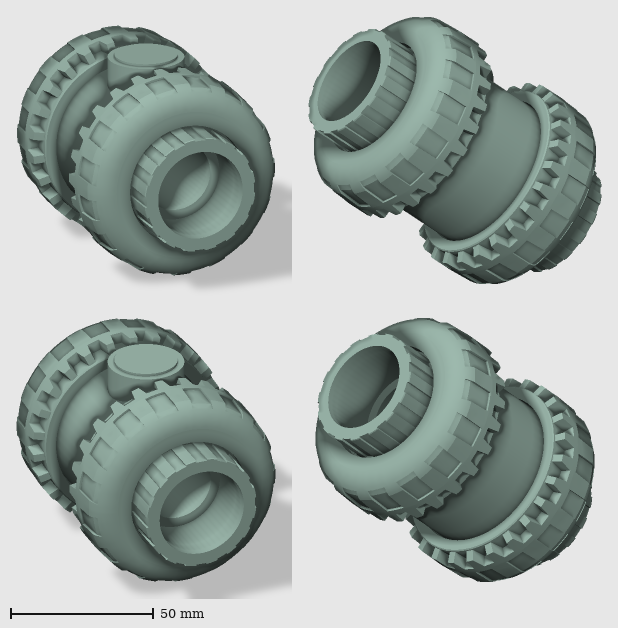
import cadquery as cq
import math


core_length = 103.0
bore_diameter = 25.0
socket_diameter = 32.0
socket_depth = 22.0
pipe_diameter = 42.0
barrel_diameter = 55.0
boss_diameter = 27.0
boss_top = 35.0

pad_count = 16
pad_height = 0.75
knurl_length = 14.0
pad_chamfer_length = 0.4
pad_chamfer_height = 0.2

cover_diameter = 22.3
cover_thickness = 0.95

nut_diameter = 71.96
nut_outer_face = 39.5
nut_length = 24.5
nut_hole_diameter = 43.7
nut_bore_diameter = 56.0
nut_lip_thickness = 4.0
face_diameter = 53.8
shoulder_radius = 9.0
shoulder_end_depth = 6.2
cone_end_depth = 15.4

hub_diameter = 64.4
hub_chamfer = 0.4
tooth_count = 25
tooth_tip_depth = 22.65
tooth_tip_slant = 0.95
gap_root_depth = 18.0
gap_root_width = 3.3
gap_flank_angle = 10.0
gap_draft = 9.0
gap_sink = 0.3

notch_count = 16
notch_start_depth = 2.95
notch_floor_knee_depth = 5.0
notch_end_depth = 14.6
notch_start_width = 7.9
notch_end_width = 7.34
notch_start_radius = 33.2
notch_knee_radius = 34.4
notch_end_radius = 35.05

core_end = core_length / 2
pipe_radius = pipe_diameter / 2
knurl_base_radius = pipe_radius - pad_height
nut_radius = nut_diameter / 2
hub_radius = hub_diameter / 2
face_radius = face_diameter / 2
gap_floor_radius = hub_radius - gap_sink
nut_lip_inner = nut_outer_face - nut_lip_thickness
cutter_radius = nut_radius + 2.0


def revolve_around_x(outline, angle=360.0):
    return outline.close().revolve(angle, (0, 0, 0), (1, 0, 0))


def disc_along_x(start, end, radius):
    return cq.Workplane("YZ", origin=(start, 0, 0)).circle(radius).extrude(end - start)


def around_x(shape, count, first_angle):
    """List of copies of a shape, evenly spaced around the X axis."""
    pitch = 360.0 / count
    solid = shape.val()
    return [
        solid.rotate((0, 0, 0), (1, 0, 0), first_angle + index * pitch)
        for index in range(count)
    ]


def make_knurl_gaps():
    """Gaps between the raised pads of the left pipe end."""
    knurl_end = -core_end + knurl_length
    profile = cq.Workplane("XY").polyline([
        (-core_end, knurl_base_radius),
        (knurl_end, knurl_base_radius),
        (knurl_end, cutter_radius),
        (-core_end, cutter_radius),
    ])
    gap_angle = 180.0 / pad_count
    gap = revolve_around_x(profile, gap_angle)
    return around_x(gap, pad_count, -gap_angle / 2)


def make_pipe_end():
    """Left half of the core's pipe, with its knurl and bevelled open end."""
    pipe = disc_along_x(-core_end, 0, pipe_radius)
    pipe = pipe.faces("<X").chamfer(pad_chamfer_length, pad_chamfer_height)
    return cq.Workplane(pipe.val().cut(*make_knurl_gaps()))


def make_core():
    pipe = make_pipe_end()
    core = disc_along_x(-nut_lip_inner, nut_lip_inner, barrel_diameter / 2)
    core = core.union(pipe).union(pipe.mirror("YZ"))
    core = core.union(cq.Workplane("XY").circle(boss_diameter / 2).extrude(boss_top))
    core = core.cut(disc_along_x(-core_end, core_end, bore_diameter / 2))
    core = core.cut(disc_along_x(-core_end, -core_end + socket_depth, socket_diameter / 2))
    core = core.cut(disc_along_x(core_end - socket_depth, core_end, socket_diameter / 2))
    return core


def make_cover():
    return (
        cq.Workplane("XY", origin=(0, 0, boss_top))
        .circle(cover_diameter / 2)
        .extrude(cover_thickness)
    )



def shoulder_point(depth):
    """Point of the shoulder rounding at a given depth from the face."""
    rise = math.sqrt(shoulder_radius**2 - (shoulder_radius - depth) ** 2)
    return (depth, face_radius + rise)


def make_nut_blank():
    outline = (
        cq.Workplane("XY")
        .moveTo(0, 0)
        .lineTo(0, face_radius)
        .threePointArc(shoulder_point(shoulder_end_depth / 3), shoulder_point(shoulder_end_depth))
        .lineTo(cone_end_depth, nut_radius)
        .lineTo(tooth_tip_depth, nut_radius)
        .lineTo(tooth_tip_depth + tooth_tip_slant, hub_radius)
        .lineTo(tooth_tip_depth + tooth_tip_slant, 0)
    )
    return revolve_around_x(outline)


def gap_outline(spread):
    """Outline of a tooth gap, with its root and flanks pushed outward by the spread."""
    flank_slope = math.tan(math.radians(gap_flank_angle))
    flank_shift = spread / math.cos(math.radians(gap_flank_angle))

    def half_width(depth):
        return gap_root_width / 2 + (depth - gap_root_depth) * flank_slope + flank_shift

    root = gap_root_depth - spread
    return [
        (root, -half_width(root)),
        (nut_length, -half_width(nut_length)),
        (nut_length, half_width(nut_length)),
        (root, half_width(root)),
    ]


def make_tooth_gaps():
    """Tapered gaps between the teeth; they widen toward the rim and the inner end."""
    rise = cutter_radius - gap_floor_radius
    rim_spread = rise * math.tan(math.radians(gap_draft))
    gap = (
        cq.Workplane("XY", origin=(0, 0, gap_floor_radius))
        .polyline(gap_outline(0))
        .close()
        .workplane(offset=rise)
        .polyline(gap_outline(rim_spread))
        .close()
        .loft(ruled=True)
    )
    return around_x(gap, tooth_count, 90.0)


def make_grip_notches():
    """Shallow notches whose floors run parallel to the cone and fade into the shoulder."""
    floor_ring = revolve_around_x(cq.Workplane("XY").polyline([
        (notch_start_depth, notch_start_radius),
        (notch_floor_knee_depth, notch_knee_radius),
        (notch_end_depth, notch_end_radius),
        (notch_end_depth, cutter_radius),
        (notch_start_depth, cutter_radius),
    ]))
    wedge = (
        cq.Workplane("XY")
        .polyline([
            (notch_start_depth, -notch_start_width / 2),
            (notch_end_depth, -notch_end_width / 2),
            (notch_end_depth, notch_end_width / 2),
            (notch_start_depth, notch_start_width / 2),
        ])
        .close()
        .extrude(cutter_radius)
    )
    return around_x(wedge.intersect(floor_ring), notch_count, 180.0 / notch_count)


def make_nut():
    nut = make_nut_blank()
    nut = cq.Workplane(nut.val().cut(*make_tooth_gaps(), *make_grip_notches()))
    hub = disc_along_x(tooth_tip_depth / 2, nut_length, hub_radius)
    nut = nut.union(hub.faces(">X").chamfer(hub_chamfer))
    nut = nut.cut(disc_along_x(0, nut_lip_thickness, nut_hole_diameter / 2))
    nut = nut.cut(disc_along_x(nut_lip_thickness, nut_length, nut_bore_diameter / 2))
    return nut.translate((-nut_outer_face, 0, 0))


core = make_core()
cover = make_cover()
left_nut = make_nut()
right_nut = left_nut.rotate((0, 0, 0), (0, 0, 1), 180)

result = cq.Compound.makeCompound([core.val(), cover.val(), left_nut.val(), right_nut.val()])